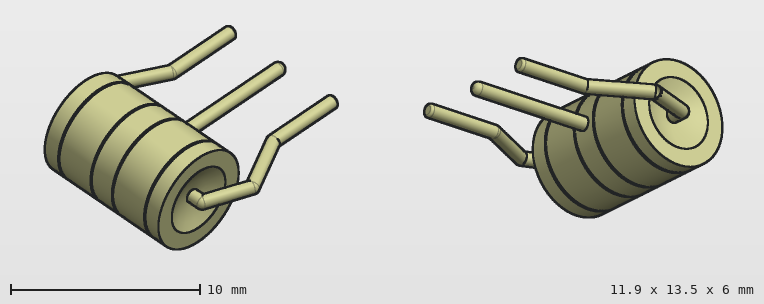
import cadquery as cq

overall_width = 11.92
overall_depth = 13.5

body_length = 8.5
body_diameter = 6.0
body_radius = body_diameter / 2

groove_offsets = (0.8, 3.21)
groove_width = 0.05
groove_depth = 0.05

dish_radius = 2.0
dish_depth = 0.5

wire_diameter = 0.8
wire_radius = wire_diameter / 2
lead_tip_y = overall_depth - body_radius
side_tip_fillet = 0.15
middle_tip_fillet = 0.32

lead_embed_depth = 2 * dish_depth

root_bend_x = 4.52
outer_bend_x = overall_width / 2 - wire_radius
outer_bend_y = 2.7
upper_bend_x = 3.81
upper_bend_y = 6.01


def rod(start, end):
    """Round wire between two points of the plane Z = 0."""
    axis = cq.Vector(*end) - cq.Vector(*start)
    return cq.Workplane(cq.Solid.makeCylinder(wire_radius, axis.Length, cq.Vector(*start), axis))


def make_body():
    """Plain cylinder with the ring grooves cut into its outer surface."""
    body = cq.Workplane("YZ").circle(body_radius).extrude(body_length / 2, both=True)
    for offset in groove_offsets:
        for x in (-offset, offset):
            groove = (
                cq.Workplane("YZ", origin=(x, 0, 0))
                .circle(body_radius + groove_depth)
                .circle(body_radius - groove_depth)
                .extrude(groove_width / 2, both=True)
            )
            body = body.cut(groove)
    return body


def cut_dishes(body):
    """Sink a spherical dish into both end faces."""
    face_x = body_length / 2
    floor_x = face_x - dish_depth
    sphere_radius = (dish_radius**2 + dish_depth**2) / (2 * dish_depth)
    dish = (
        cq.Workplane("XY")
        .moveTo(floor_x, 0)
        .radiusArc((face_x, dish_radius), sphere_radius)
        .lineTo(face_x, 0)
        .close()
        .revolve(360, (0, 0, 0), (1, 0, 0))
    )
    return body.cut(dish).cut(dish.mirror("YZ"))


def make_side_lead():
    """Bent lead on the +X end, with a ball joint at every bend."""
    root = (body_length / 2 - lead_embed_depth, 0)
    bends = [(root_bend_x, 0), (outer_bend_x, outer_bend_y), (upper_bend_x, upper_bend_y)]
    tip = (upper_bend_x, lead_tip_y)

    lead = rod(bends[-1], tip).faces(">Y").edges().fillet(side_tip_fillet)
    for start, end in zip([root] + bends, bends):
        lead = lead.union(rod(start, end))
        lead = lead.union(cq.Workplane("XY").sphere(wire_radius).translate(end))
    return lead


def make_middle_lead():
    """Straight lead from the middle of the body, with a rounded tip."""
    return rod((0, 0), (0, lead_tip_y)).faces(">Y").edges().fillet(middle_tip_fillet)


side_lead = make_side_lead()
result = (
    cut_dishes(make_body())
    .union(make_middle_lead())
    .union(side_lead)
    .union(side_lead.mirror("YZ"))
)